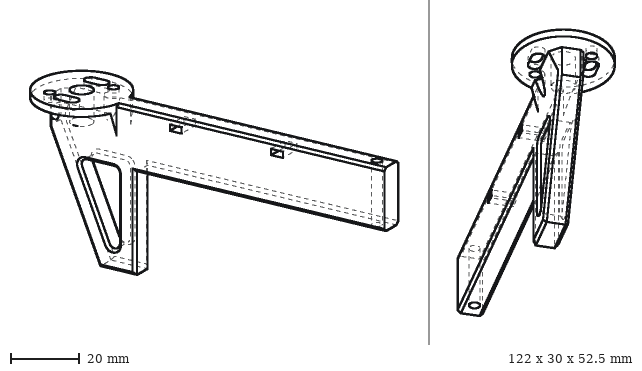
import cadquery as cq
import math


disk_radius = 15.0
disk_thickness = 2.5

total_length = 122.0
total_height = 52.5
plate_width = 7.6
plate_chamfer = 1.0
arm_height = 20.0
arm_end_x = total_length - disk_radius
head_left_x = -9.0
head_height = 12.1
leg_left_x = 8.3
leg_right_x = 21.0

window_wall = 6.0
window_corner_radius = 1.8

gusset_half_width = 6.0
gusset_bottom_z = -9.9

hub_hole_diameter = 7.1
hub_hole_depth = 10.0
slot_length = 8.0
slot_width = 4.0
slot_offset_y = 8.0
screw_hole_diameter = 3.3
screw_offset = 6.7
screw_clearance_radius = 2.8

tie_slot_centres_x = (34.9, 69.9)
tie_slot_length = 4.0
tie_slot_height = 2.0
tie_slot_top_z = -2.5
end_hole_diameter = 3.2
end_hole_inset = 5.0

plate_half = plate_width / 2


def make_plate():
    """Arm and leg plate with every long edge chamfered except at the arm end."""
    outline = [
        (head_left_x, 0),
        (arm_end_x, 0),
        (arm_end_x, -arm_height),
        (leg_right_x, -arm_height),
        (leg_right_x, -total_height),
        (leg_left_x, -total_height),
        (head_left_x, -head_height),
    ]
    plate = cq.Workplane("XZ").polyline(outline).close().extrude(plate_half, both=True)
    arm_end_edges = cq.selectors.BoxSelector(
        (arm_end_x - plate_chamfer, -plate_width, -total_height),
        (arm_end_x + plate_chamfer, plate_width, total_height),
    )
    side_edges = plate.faces("<Y or >Y").edges()
    plate = side_edges.edges(-arm_end_edges).chamfer(plate_chamfer)
    return plate.cut(make_window())


def make_window():
    """Three-sided cutter, parallel to the leg sides, flared at both plate faces."""
    run = leg_left_x - head_left_x
    drop = total_height - head_height
    slope = run / drop
    wall_along_x = window_wall * math.hypot(run, drop) / drop
    right_x = leg_right_x - window_wall
    top_left_x = head_left_x + wall_along_x + slope * (arm_height - head_height)
    tip_z = -arm_height - (right_x - top_left_x) / slope
    corners = [(top_left_x, -arm_height), (right_x, -arm_height), (right_x, tip_z)]
    window = cq.Workplane("XZ").polyline(corners).close().extrude(plate_half, both=True)
    window = window.edges("|Y").fillet(window_corner_radius)

    for face, face_y, inward in (("<Y", -plate_half, 1), (">Y", plate_half, -1)):
        rim = window.faces(face).wires().val().offset2D(plate_chamfer)[0]
        mid_y = face_y + inward * plate_chamfer
        inner = window.faces(face).wires().val().translate(cq.Vector(0, mid_y - face_y, 0))
        window = window.union(cq.Workplane(cq.Solid.makeLoft([rim, inner], True)))
    return window


def make_disk():
    return cq.Workplane("XY").circle(disk_radius).extrude(-disk_thickness)


def make_gussets():
    """Prism tapering into the plate, with its left end continuing the plate chamfers."""
    taper = [
        (-gusset_half_width, -disk_thickness),
        (gusset_half_width, -disk_thickness),
        (plate_half, gusset_bottom_z),
        (-plate_half, gusset_bottom_z),
    ]
    prism = cq.Workplane("YZ").polyline(taper).close().extrude(disk_radius, both=True)

    end_half = plate_half - plate_chamfer
    shoulder_x = head_left_x + gusset_half_width - end_half
    footprint = [
        (head_left_x, -end_half),
        (shoulder_x, -gusset_half_width),
        (disk_radius, -gusset_half_width),
        (disk_radius, gusset_half_width),
        (shoulder_x, gusset_half_width),
        (head_left_x, end_half),
    ]
    plan = cq.Workplane("XY").polyline(footprint).close().extrude(gusset_bottom_z)
    disk_envelope = cq.Workplane("XY").circle(disk_radius).extrude(gusset_bottom_z)
    clearance = (
        cq.Workplane("XY", origin=(0, 0, -disk_thickness))
        .pushPoints(screw_centres)
        .circle(screw_clearance_radius)
        .extrude(gusset_bottom_z)
    )
    return prism.intersect(plan).intersect(disk_envelope).cut(clearance)


def cut_disk_openings(body):
    top = cq.Workplane("XY")
    hub = top.circle(hub_hole_diameter / 2).extrude(-hub_hole_depth)
    slots = (
        top.pushPoints([(0, -slot_offset_y), (0, slot_offset_y)])
        .slot2D(slot_length, slot_width)
        .extrude(gusset_bottom_z)
    )
    screws = top.pushPoints(screw_centres).circle(screw_hole_diameter / 2).extrude(gusset_bottom_z)
    return body.cut(hub).cut(slots).cut(screws)


def cut_arm_openings(body):
    tie_slot_z = tie_slot_top_z - tie_slot_height / 2
    for centre_x in tie_slot_centres_x:
        tie_slot = cq.Workplane("XY").box(tie_slot_length, plate_width, tie_slot_height)
        body = body.cut(tie_slot.translate((centre_x, 0, tie_slot_z)))
    end_hole = (
        cq.Workplane("XY")
        .center(arm_end_x - end_hole_inset, 0)
        .circle(end_hole_diameter / 2)
        .extrude(-arm_height)
    )
    return body.cut(end_hole)


screw_centres = [(-screw_offset, -screw_offset), (screw_offset, screw_offset)]

body = make_plate().union(make_disk()).union(make_gussets())
result = cut_arm_openings(cut_disk_openings(body))